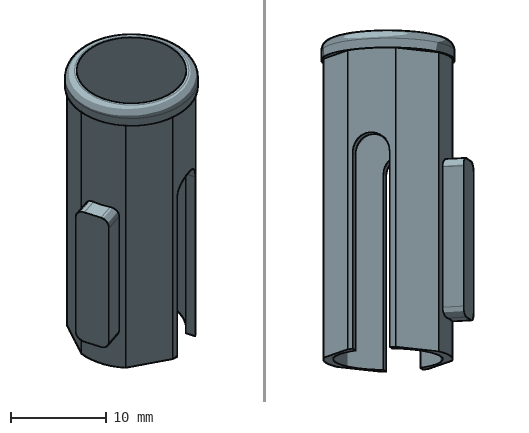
import cadquery as cq

total_height = 34.0
bore_diameter = 11.5
body_diameter = 13.6
flat_distance = 6.3

collar_diameter = 14.0
collar_height = 2.0
collar_round = collar_height / 2

slot_width = 4.0
slot_top = 23.0

key_width = 3.95
key_bottom = 3.88
key_height = 17.0
key_corner = 1.0
key_reach = 8.8


def make_body():
    height = total_height - collar_height
    cylinder = cq.Workplane("XY").circle(body_diameter / 2).extrude(height)
    flats = (
        cq.Workplane("XY")
        .rect(2 * flat_distance, 2 * flat_distance)
        .extrude(height)
        .rotate((0, 0, 0), (0, 0, 1), 45)
    )
    return cylinder.intersect(flats)


def make_collar():
    return (
        cq.Workplane("XY", origin=(0, 0, total_height - collar_height))
        .circle(collar_diameter / 2)
        .extrude(collar_height)
        .faces(">Z")
        .edges()
        .fillet(collar_round)
    )


def make_key():
    return (
        cq.Workplane("XZ", origin=(0, 0, key_bottom + key_height / 2))
        .rect(key_width, key_height)
        .extrude(key_reach)
        .edges("|Y")
        .fillet(key_corner)
    )


def make_slot():
    radius = slot_width / 2
    arc_center = slot_top - radius
    return (
        cq.Workplane("YZ")
        .moveTo(-radius, 0)
        .lineTo(-radius, arc_center)
        .threePointArc((0, slot_top), (radius, arc_center))
        .lineTo(radius, 0)
        .close()
        .extrude(collar_diameter / 2, both=True)
    )


bore = cq.Workplane("XY").circle(bore_diameter / 2).extrude(total_height)
result = make_body().union(make_collar()).union(make_key()).cut(bore).cut(make_slot())